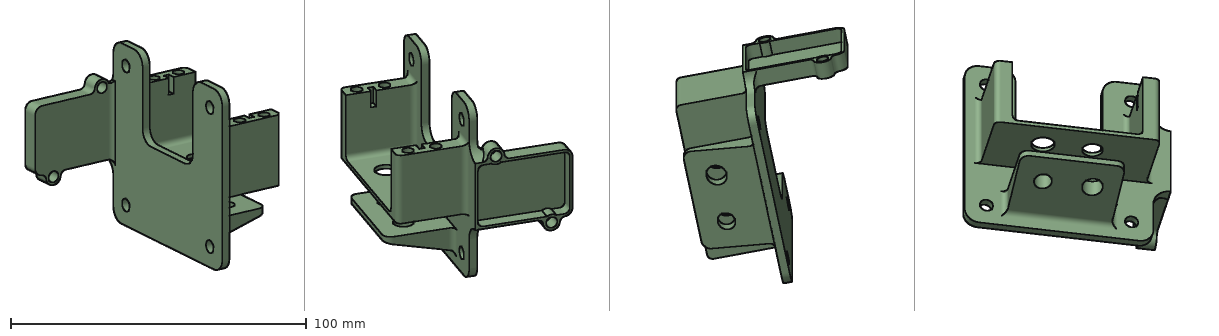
import cadquery as cq
import math

PLATE_SIZE = 65.0
PLATE_THICKNESS = 3.0
PLATE_CORNER_RADIUS = 5.0
PLATE_HOLE_SPACING = 50.0
PLATE_HOLE_DIAMETER = 4.5
NOTCH_WIDTH = 29.95
NOTCH_DEPTH = 32.0

BRACKET_WIDTH = 57.0
BRACKET_DEPTH = 25.0
BRACKET_HEIGHT = 25.5
BRACKET_TOP = 17.5
BRACKET_CENTER_X = -1.5
BRACKET_CORNER_RADIUS = 2.0
WALL_THICKNESS = 6.0
FLOOR_THICKNESS = 1.5
BLEND_RADIUS = 2.0

PIN_HOLE_DIAMETER = 4.0
PIN_HOLE_DEPTH = 10.0
PIN_HOLE_SPACING = 10.0
SLOT_WIDTH = 2.0
SLOT_HEIGHT = 6.0
HOLE_ROW_INSET = 10.0
FLOOR_HOLE_OFFSET = 8.5
LEFT_HOLE_DIAMETER = 7.0
RIGHT_FLOOR_HOLE_DIAMETER = 8.0

SHELF_TOP = -18.5
SHELF_WIDTH = 36.0
SHELF_TIP_THICKNESS = 2.1
SHELF_TAPER_ANGLE = 15.0
SHELF_CORNER_RADIUS = 3.0
RIGHT_SHELF_HOLE_DIAMETER = 6.0

TRAY_DEPTH = 6.0
TRAY_LENGTH = 35.0
TRAY_HEIGHT = 25.0
TRAY_CENTER_Z = 2.0
TRAY_WALL = 1.0
TRAY_CORNER_RADIUS = 3.0
TRAY_FLARE_RADIUS = 6.0

EAR_DIAMETER = 6.0
EAR_HOLE_DIAMETER = 4.0
EAR_END_DISTANCE = 7.5
EAR_RISE = 1.5
EAR_BLEND_RADIUS = 2.0

GUSSET_RADIUS = 2.0
GUSSET_REACH = 1.2
GUSSET_TOP_RISE = 3.2
GUSSET_EAR_RISE = 2.4

SELECT_MARGIN = 0.1

TRIM_ALLOWANCE = 3.55

HALF_PLATE = PLATE_SIZE / 2
PLATE_FRONT = -PLATE_THICKNESS
BRACKET_BOTTOM = BRACKET_TOP - BRACKET_HEIGHT
FLOOR_TOP = BRACKET_BOTTOM + FLOOR_THICKNESS
HOLE_ROW_Y = BRACKET_DEPTH - HOLE_ROW_INSET
INNER_WIDTH = BRACKET_WIDTH - 2 * WALL_THICKNESS
TRAY_OPEN_X = -HALF_PLATE - TRAY_DEPTH
GUSSET_END_X = -HALF_PLATE + GUSSET_REACH
TRAY_TOP = TRAY_CENTER_Z + TRAY_HEIGHT / 2
TRAY_BOTTOM = TRAY_CENTER_Z - TRAY_HEIGHT / 2
TOP_EAR = (-EAR_END_DISTANCE, TRAY_TOP + EAR_RISE)
BOTTOM_EAR = (EAR_END_DISTANCE - TRAY_LENGTH, TRAY_BOTTOM - EAR_RISE)


def block(x_range, y_range, z_range):
    """Box between the given limits along each axis."""
    size = [limits[1] - limits[0] for limits in (x_range, y_range, z_range)]
    return cq.Workplane("XY").box(*size, centered=False).translate((x_range[0], y_range[0], z_range[0]))


def cylinder_z(diameter, x, y, bottom, top):
    """Upright cylinder."""
    return cq.Workplane("XY", origin=(x, y, bottom)).circle(diameter / 2).extrude(top - bottom)


def cylinder_x(diameter, center, start, end):
    """Cylinder along X; center is given as (y, z)."""
    return cq.Workplane("YZ", origin=(start, 0, 0)).center(*center).circle(diameter / 2).extrude(end - start)


def make_plate():
    """Square plate with rounded corners, a notch in its top edge and four mounting holes."""
    plate = block((-HALF_PLATE, HALF_PLATE), (PLATE_FRONT, 0), (-HALF_PLATE, HALF_PLATE))
    notch_floor = HALF_PLATE - NOTCH_DEPTH
    plate = plate.cut(block((-NOTCH_WIDTH / 2, NOTCH_WIDTH / 2), (PLATE_FRONT, 0), (notch_floor, HALF_PLATE)))
    plate = plate.edges("|Y").fillet(PLATE_CORNER_RADIUS)
    holes = (
        cq.Workplane("XZ")
        .rect(PLATE_HOLE_SPACING, PLATE_HOLE_SPACING, forConstruction=True)
        .vertices()
        .circle(PLATE_HOLE_DIAMETER / 2)
        .extrude(PLATE_THICKNESS)
    )
    return plate.cut(holes)


def rear_space(bottom, top):
    """Region behind the plate between two heights."""
    return block((-HALF_PLATE, HALF_PLATE), (0, BRACKET_DEPTH), (bottom, top))


def blend_onto_plate(attachment, inside_corners=None):
    """Attachment on a plain slab, filleted where it meets the slab and at any selected inside corners."""
    slab = block((-HALF_PLATE, HALF_PLATE), (PLATE_FRONT, 0), (-HALF_PLATE, HALF_PLATE))
    joint = cq.selectors.BoxSelector(
        (SELECT_MARGIN - HALF_PLATE, -SELECT_MARGIN, SELECT_MARGIN - HALF_PLATE),
        (HALF_PLATE - SELECT_MARGIN, SELECT_MARGIN, HALF_PLATE - SELECT_MARGIN),
    )
    if inside_corners:
        joint = joint + inside_corners
    return slab.union(attachment).edges(joint).fillet(BLEND_RADIUS)


def make_bracket():
    """Open-topped channel of two walls and a floor, blended to the plate except along its flat underside."""
    half_width = BRACKET_WIDTH / 2
    half_inner = INNER_WIDTH / 2
    extended_bottom = BRACKET_BOTTOM - TRIM_ALLOWANCE
    bracket = block((-half_width, half_width), (0, BRACKET_DEPTH), (extended_bottom, BRACKET_TOP))
    bracket = bracket.edges("|Z and >Y").fillet(BRACKET_CORNER_RADIUS)
    channel = block((-half_inner, half_inner), (0, BRACKET_DEPTH), (FLOOR_TOP, BRACKET_TOP))
    bracket = bracket.cut(channel).translate((BRACKET_CENTER_X, 0, 0))
    channel_corners = cq.selectors.BoxSelector(
        (-half_width + BRACKET_CENTER_X, SELECT_MARGIN, FLOOR_TOP - SELECT_MARGIN),
        (half_width + BRACKET_CENTER_X, BRACKET_DEPTH - SELECT_MARGIN, FLOOR_TOP + SELECT_MARGIN),
    )
    blended = blend_onto_plate(bracket, channel_corners)
    return blended.intersect(rear_space(BRACKET_BOTTOM, HALF_PLATE))


def make_shelf():
    """Shelf with a flat top and a sloping underside, blended to the plate below its top."""
    root_thickness = SHELF_TIP_THICKNESS + BRACKET_DEPTH * math.tan(math.radians(SHELF_TAPER_ANGLE))
    shelf = (
        cq.Workplane("YZ")
        .moveTo(0, SHELF_TOP + TRIM_ALLOWANCE)
        .lineTo(BRACKET_DEPTH, SHELF_TOP + TRIM_ALLOWANCE)
        .lineTo(BRACKET_DEPTH, SHELF_TOP - SHELF_TIP_THICKNESS)
        .lineTo(0, SHELF_TOP - root_thickness)
        .close()
        .extrude(SHELF_WIDTH / 2, both=True)
    )
    shelf = shelf.edges("|Z and >Y").fillet(SHELF_CORNER_RADIUS)
    return blend_onto_plate(shelf).intersect(rear_space(-HALF_PLATE, SHELF_TOP))


def cut_bracket_holes(body):
    """Cut pin holes and key slots in the wall tops, and aligned holes in the floor and shelf."""
    for side in (-1, 1):
        wall_x = BRACKET_CENTER_X + side * (BRACKET_WIDTH - WALL_THICKNESS) / 2
        for offset in (-PIN_HOLE_SPACING / 2, PIN_HOLE_SPACING / 2):
            hole_y = HOLE_ROW_Y + offset
            body = body.cut(
                cylinder_z(PIN_HOLE_DIAMETER, wall_x, hole_y, BRACKET_TOP - PIN_HOLE_DEPTH, BRACKET_TOP)
            )
        inner_x = BRACKET_CENTER_X + side * INNER_WIDTH / 2
        body = body.cut(
            block(
                sorted((inner_x, wall_x)),
                (HOLE_ROW_Y - SLOT_WIDTH / 2, HOLE_ROW_Y + SLOT_WIDTH / 2),
                (BRACKET_TOP - SLOT_HEIGHT, BRACKET_TOP),
            )
        )
    for x, floor_diameter, shelf_diameter in (
        (-FLOOR_HOLE_OFFSET, LEFT_HOLE_DIAMETER, LEFT_HOLE_DIAMETER),
        (FLOOR_HOLE_OFFSET, RIGHT_FLOOR_HOLE_DIAMETER, RIGHT_SHELF_HOLE_DIAMETER),
    ):
        body = body.cut(cylinder_z(floor_diameter, x, HOLE_ROW_Y, BRACKET_BOTTOM, FLOOR_TOP))
        body = body.cut(cylinder_z(shelf_diameter, x, HOLE_ROW_Y, -HALF_PLATE, SHELF_TOP))
    return body


def make_tray_body():
    """Solid tray with its ears, before hollowing."""
    tray = block((TRAY_OPEN_X, -HALF_PLATE), (-TRAY_LENGTH, 0), (TRAY_BOTTOM, TRAY_TOP))
    tray = tray.edges("|X and <Y").fillet(TRAY_CORNER_RADIUS)
    for center, tray_face in ((TOP_EAR, TRAY_TOP), (BOTTOM_EAR, TRAY_BOTTOM)):
        tray = tray.union(cylinder_x(EAR_DIAMETER, center, TRAY_OPEN_X, -HALF_PLATE))
        ear_roots = cq.selectors.BoxSelector(
            (TRAY_OPEN_X, center[0] - EAR_DIAMETER / 2, tray_face - SELECT_MARGIN),
            (-HALF_PLATE, center[0] + EAR_DIAMETER / 2, tray_face + SELECT_MARGIN),
        )
        tray = tray.edges(ear_roots).edges("|X").fillet(EAR_BLEND_RADIUS)
    return tray


def make_flare(y_start, y_end):
    """Tray-height block between two depths, curving out from the tray's open face into the plate's side edge."""
    radius = TRAY_FLARE_RADIUS
    sag = radius * math.sqrt(0.5)
    top_center = TRAY_TOP + radius
    bottom_center = TRAY_BOTTOM - radius
    return (
        cq.Workplane("XZ", origin=(0, y_end, 0))
        .moveTo(-HALF_PLATE, top_center)
        .threePointArc((TRAY_OPEN_X + sag, top_center - sag), (TRAY_OPEN_X, TRAY_TOP))
        .lineTo(TRAY_OPEN_X, TRAY_BOTTOM)
        .threePointArc((TRAY_OPEN_X + sag, bottom_center + sag), (-HALF_PLATE, bottom_center))
        .lineTo(GUSSET_END_X, bottom_center)
        .lineTo(GUSSET_END_X, top_center)
        .close()
        .extrude(y_end - y_start)
    )


def make_gusset():
    """Concave fillet between the front of the plate and the tray, mitred at the tray's top and bottom."""
    radius = GUSSET_RADIUS
    sag = radius * math.sqrt(0.5)
    front = PLATE_FRONT - radius
    side_profile = (
        cq.Workplane("YZ", origin=(TRAY_OPEN_X, 0, 0))
        .moveTo(PLATE_FRONT, TRAY_BOTTOM - radius)
        .threePointArc((front + sag, TRAY_BOTTOM - radius + sag), (front, TRAY_BOTTOM))
        .lineTo(TOP_EAR[0], TRAY_TOP)
        .lineTo(TOP_EAR[0], TRAY_TOP + GUSSET_EAR_RISE)
        .lineTo(front + radius / 2, TRAY_TOP + GUSSET_EAR_RISE)
        .lineTo(PLATE_FRONT, TRAY_TOP + GUSSET_TOP_RISE)
        .close()
        .extrude(GUSSET_END_X - TRAY_OPEN_X)
    )
    arc_center_x = -HALF_PLATE + radius
    height_at_reach = math.sqrt(radius**2 - (radius - GUSSET_REACH) ** 2)
    half_angle = math.asin(height_at_reach / radius) / 2
    arc_front = PLATE_FRONT - height_at_reach
    plan_profile = (
        cq.Workplane("XY", origin=(0, 0, -HALF_PLATE))
        .moveTo(TRAY_OPEN_X, PLATE_FRONT)
        .lineTo(TRAY_OPEN_X, front)
        .lineTo(-HALF_PLATE, front)
        .lineTo(-HALF_PLATE, arc_front)
        .threePointArc(
            (arc_center_x - radius * math.cos(half_angle), arc_front + radius * math.sin(half_angle)),
            (GUSSET_END_X, PLATE_FRONT),
        )
        .close()
        .extrude(PLATE_SIZE)
    )
    flare = make_flare(front, PLATE_FRONT)
    return side_profile.intersect(plan_profile).intersect(flare)


def cut_tray(body):
    """Hollow the tray, leaving a floor and a full ring around each ear hole, and drill the ear holes."""
    floor_x = -HALF_PLATE - TRAY_WALL
    cavity = block(
        (TRAY_OPEN_X, floor_x),
        (TRAY_WALL - TRAY_LENGTH, -TRAY_WALL),
        (TRAY_BOTTOM + TRAY_WALL, TRAY_TOP - TRAY_WALL),
    )
    cavity = cavity.edges("|X").fillet(TRAY_CORNER_RADIUS - TRAY_WALL)
    for center in (TOP_EAR, BOTTOM_EAR):
        cavity = cavity.cut(cylinder_x(EAR_DIAMETER, center, TRAY_OPEN_X, floor_x))
    body = body.cut(cavity)
    for center in (TOP_EAR, BOTTOM_EAR):
        body = body.cut(cylinder_x(EAR_HOLE_DIAMETER, center, TRAY_OPEN_X, -HALF_PLATE))
    return body


body = make_plate().union(make_bracket()).union(make_shelf())
body = cut_bracket_holes(body)
body = body.union(make_flare(PLATE_FRONT, 0))
body = body.union(make_tray_body()).union(make_gusset())
result = cut_tray(body)